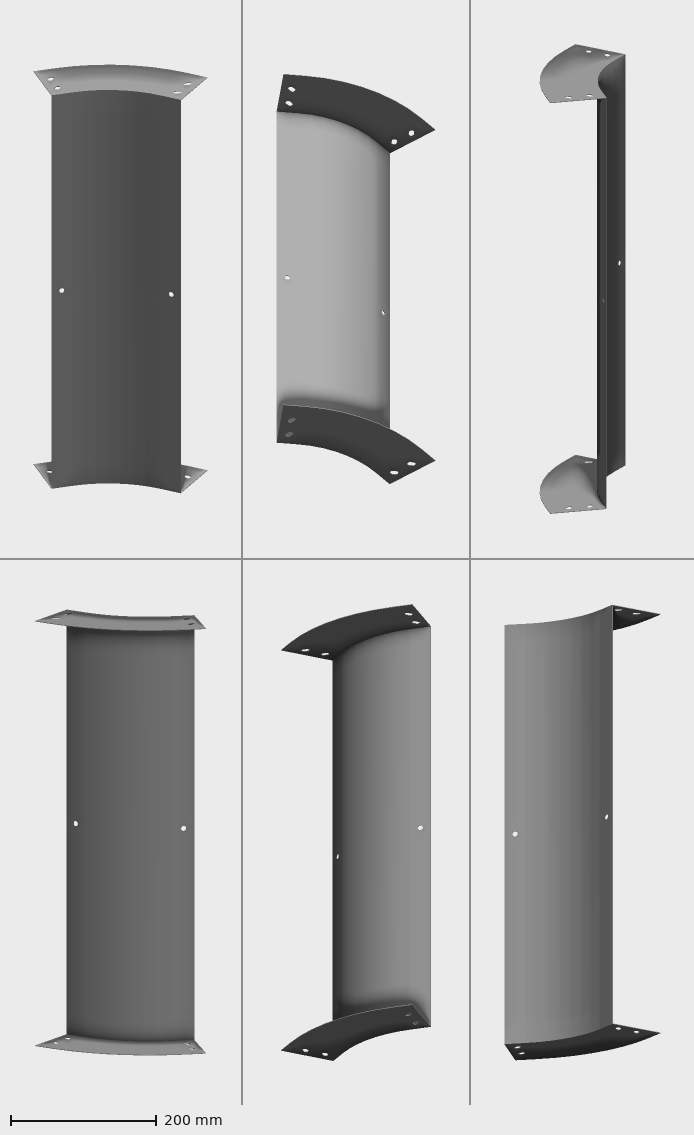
import cadquery as cq
import math

height = 600.0
flange_width = 80.0
outer_radius = 240.0
lead = 30.0
bend_angle = 45.0
thickness = 0.9
hole_diameter = 7.0
hole_end_distance = lead / 2
slot_length = 11.5
slot_tilt = 45.0
flange_slot_offsets = (30.0, 60.0)

bend_center_x = outer_radius
bend_center_y = lead
inner_radius = outer_radius - flange_width


def bend_point(radius, angle, run=0.0):
    """Point on the bend at an angle, moved along the tangent by a straight run."""
    a = math.radians(angle)
    return (
        bend_center_x - radius * math.cos(a) + run * math.sin(a),
        bend_center_y + radius * math.sin(a) + run * math.cos(a),
    )


def curved_strip(radius_out, radius_in, strip_height):
    """Extruded strip between two concentric paths: straight, arc, straight."""
    middle = bend_angle / 2
    return (
        cq.Workplane("XY")
        .moveTo(*bend_point(radius_out, 0, -lead))
        .lineTo(*bend_point(radius_out, 0))
        .threePointArc(bend_point(radius_out, middle), bend_point(radius_out, bend_angle))
        .lineTo(*bend_point(radius_out, bend_angle, lead))
        .lineTo(*bend_point(radius_in, bend_angle, lead))
        .lineTo(*bend_point(radius_in, bend_angle))
        .threePointArc(bend_point(radius_in, middle), bend_point(radius_in, 0))
        .lineTo(*bend_point(radius_in, 0, -lead))
        .close()
        .extrude(strip_height)
    )


flange = curved_strip(outer_radius, inner_radius, thickness)
wall = curved_strip(inner_radius + thickness, inner_radius, height)
result = wall.union(flange).union(flange.translate((0, 0, height - thickness)))

end_stations = (
    (0, hole_end_distance - lead),
    (bend_angle, lead - hole_end_distance),
)
flange_slots = (
    (0, slot_tilt),
    (height - thickness, -slot_tilt),
)
for angle, run in end_stations:
    flange_points = [bend_point(outer_radius - offset, angle, run) for offset in flange_slot_offsets]
    for flange_bottom, tilt in flange_slots:
        slots = (
            cq.Workplane("XY", origin=(0, 0, flange_bottom))
            .pushPoints(flange_points)
            .slot2D(slot_length, hole_diameter, tilt - angle)
            .extrude(thickness)
        )
        result = result.cut(slots)

    x, y = bend_point(inner_radius + thickness / 2, angle, run)
    a = math.radians(angle)
    wall_normal = cq.Vector(math.cos(a), -math.sin(a), 0)
    hole_start = cq.Vector(x, y, height / 2) - wall_normal * thickness
    wall_hole = cq.Solid.makeCylinder(hole_diameter / 2, 2 * thickness, hole_start, wall_normal)
    result = result.cut(cq.Workplane(obj=wall_hole))